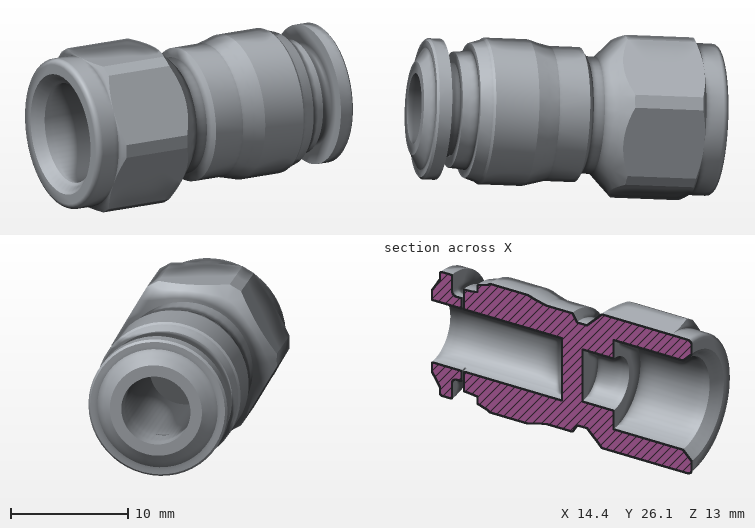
import cadquery as cq
import math

length = 26.1

across_flats = 13.0
across_corners = 14.35
collar_radius = across_flats / 2
collar_fillet = 0.47
collar_length = 2.0
hex_chamfer_angle = 30.0
hex_reach = 7.83

neck_radius = 5.0
neck_start = 10.55
neck_end = 11.5
sleeve_radius = 5.77
sleeve_chamfer_top = 11.98
sleeve_end = 14.62
body_radius = 6.26
body_start = 16.52
body_end = 20.28
shoulder_start_radius = 6.1
shoulder_start = 20.5
shoulder_end = 21.53
shoulder_end_radius = 5.77
cap_base_radius = 5.1
cap_end_radius = 4.95
cap_end = 22.92

collet_radius = 4.05
collet_flare = 0.42
flange_radius = 6.03
flange_start = 24.06
flange_edge_start = 25.15
flange_edge = 0.18
dome_radius = 5.22
face_radius = 4.0
slit_width = 1.1
slit_height = 0.2

socket_radius = 4.3
socket_mouth_radius = 5.2
socket_depth = 7.83
passage_radius = 2.5
passage_end = 10.95
tube_radius = 3.0
tube_bore_start = 13.05


def revolve(profile):
    return profile.close().revolve(360, (0, 0, 0), (0, 1, 0))


def bore(radius, start, end):
    return cq.Workplane("XZ", origin=(0, end, 0)).circle(radius).extrude(end - start)


def hexagon(distance_across_flats, turn):
    corner_diameter = distance_across_flats / math.cos(math.pi / 6)
    prism = cq.Workplane("XZ").polygon(6, corner_diameter).extrude(-neck_start)
    return prism.rotate((0, 0, 0), (0, 1, 0), turn)


def make_nut():
    rise = (hex_reach - collar_radius) * math.tan(math.radians(hex_chamfer_angle))
    envelope = revolve(
        cq.Workplane("XY")
        .moveTo(0, collar_length)
        .lineTo(collar_radius, collar_length)
        .lineTo(hex_reach, collar_length + rise)
        .lineTo(hex_reach, neck_start - (hex_reach - neck_radius))
        .lineTo(neck_radius, neck_start)
        .lineTo(0, neck_start)
    )
    blank = hexagon(across_flats, 0).intersect(hexagon(across_corners, 30))
    collar = bore(collar_radius, 0, collar_length).faces("<Y").edges().fillet(collar_fillet)
    return blank.intersect(envelope).union(collar)


def make_body():
    return revolve(
        cq.Workplane("XY")
        .moveTo(0, neck_start)
        .lineTo(neck_radius, neck_start)
        .lineTo(neck_radius, neck_end)
        .lineTo(sleeve_radius, sleeve_chamfer_top)
        .lineTo(sleeve_radius, sleeve_end)
        .lineTo(body_radius, body_start)
        .lineTo(body_radius, body_end)
        .lineTo(shoulder_start_radius, shoulder_start)
        .lineTo(shoulder_end_radius, shoulder_end)
        .lineTo(cap_base_radius, shoulder_end)
        .lineTo(cap_end_radius, cap_end)
        .lineTo(0, cap_end)
    )


def make_collet():
    flare_middle = collet_flare * (1 - math.sqrt(0.5))
    collet = revolve(
        cq.Workplane("XY")
        .moveTo(0, cap_end)
        .lineTo(collet_radius, cap_end)
        .lineTo(collet_radius, flange_start - collet_flare)
        .threePointArc(
            (collet_radius + flare_middle, flange_start - flare_middle),
            (collet_radius + collet_flare, flange_start),
        )
        .lineTo(flange_radius, flange_start)
        .lineTo(flange_radius, flange_edge_start)
        .lineTo(flange_radius - flange_edge, flange_edge_start + flange_edge)
        .lineTo(dome_radius, flange_edge_start + flange_edge)
        .lineTo(face_radius, length)
        .lineTo(0, length)
    )
    slit = cq.Workplane("XY").box(slit_width, slit_height, 2 * flange_radius)
    return collet.cut(slit.translate((0, cap_end + slit_height / 2, 0)))


def make_socket():
    mouth_depth = socket_mouth_radius - socket_radius
    return revolve(
        cq.Workplane("XY")
        .lineTo(socket_mouth_radius, 0)
        .lineTo(socket_radius, mouth_depth)
        .lineTo(socket_radius, socket_depth)
        .lineTo(0, socket_depth)
    )


result = make_nut().union(make_body()).union(make_collet())
result = result.cut(make_socket())
result = result.cut(bore(passage_radius, socket_depth, passage_end))
result = result.cut(bore(tube_radius, tube_bore_start, length))